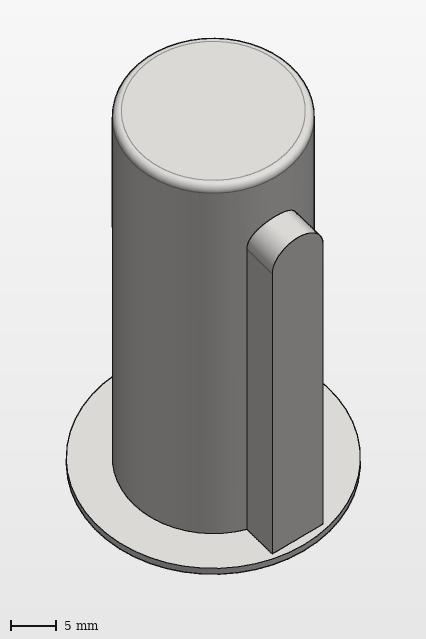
import cadquery as cq

flange_diameter = 32.0
flange_thickness = 1.0

total_height = 58.5
body_diameter = 22.0
top_face_diameter = 20.0
top_fillet = (body_diameter - top_face_diameter) / 2

rib_reach = 14.9
rib_width = 7.0
rib_top = 51.0


def make_flange():
    return cq.Workplane("XY").circle(flange_diameter / 2).extrude(flange_thickness)


def make_body():
    body = cq.Workplane("XY").circle(body_diameter / 2).extrude(total_height)
    return body.faces(">Z").edges().fillet(top_fillet)


def make_rib():
    """Upright bar running out from the body axis, its top a half-round across the width."""
    half_width = rib_width / 2
    shoulder_height = rib_top - half_width
    return (
        cq.Workplane("YZ")
        .moveTo(-half_width, 0)
        .lineTo(half_width, 0)
        .lineTo(half_width, shoulder_height)
        .threePointArc((0, rib_top), (-half_width, shoulder_height))
        .close()
        .extrude(rib_reach)
    )


result = make_flange().union(make_body()).union(make_rib())